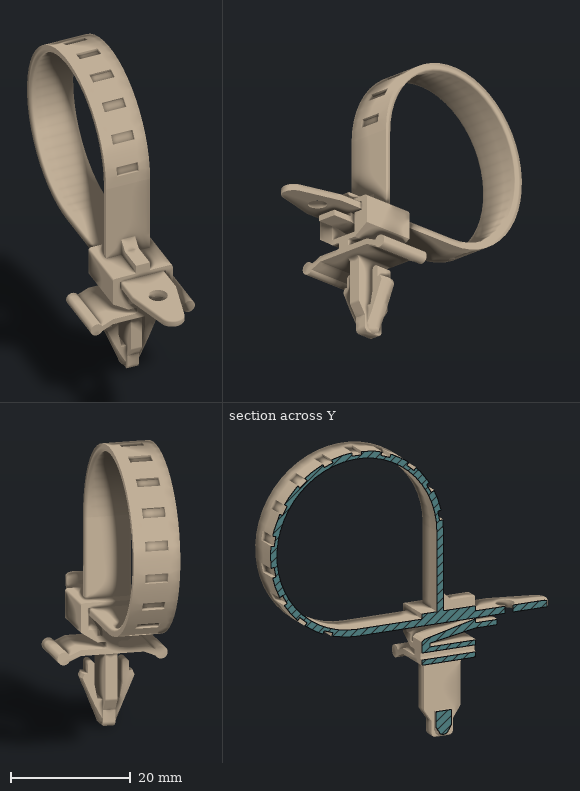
import cadquery as cq
import math


loop_radius = 16.2
strap_thickness = 1.3
strap_width = 8.0
strap_edge_radius = 0.45
loop_angle = 270

slot_count = 13
slot_pitch = 20
slot_first = 10
slot_length = 1.7
slot_width = 3.95
slot_depth = 0.65

tail_end = 36.15
tail_taper_start = 26.85
tail_tip_radius = 2.1
tail_hole_x = 28.4
tail_hole_diameter = 3.25

head_start = 12.1
head_length = 10.1
head_end = head_start + head_length
head_top = -14.0
head_half_width = 5.45
head_side_bottom = -19.05
head_bottom = -20.9
head_bottom_half_width = 2.6
head_corner_radius = 0.45

passage_half_width = 4.2
passage_top = strap_thickness - loop_radius
ledge_start_z = -18.25
ledge_end_z = -16.5
entry_bevel = 0.45

slit_inner = 1.8
slit_outer = 2.6
slit_bottom = -19.95
pawl_start_z = -18.5
pawl_peak_z = -16.25
tab_end = 26.2
tab_top = -17.0
tab_bottom = -17.95
pawl_root_length = 1.55
pawl_root_z = -19.4

rib_half_width = 1.25
rib_top = -12.4
rib_chamfer = 1.5

flange_top = -22.05
flange_thickness = 1.0
flange_bottom = flange_top - flange_thickness
bead_radius = 1.1
mount_width = 19.0
bead_y = mount_width / 2 - bead_radius
bead_z = -23.35
flange_droop = math.radians(23)

stem_x = loop_radius
stem_half_thickness = 1.05
stem_half_width = 3.4
stem_tip_half_width = 2.0
stem_taper_top = -31.2
stem_taper_bottom = -33.3
stem_bottom = -36.2
stem_flare_radius = 0.65
stem_side_flare = 0.3
stem_shoulder_radius = 0.65
stem_tip_radius = 0.9
stem_tip_edge_radius = 0.3
neck_fillet = 0.3
edge_margin = 0.05

barb_half_width = 1.5
barb_top = -24.85
barb_inner = 2.4
barb_outer = 3.55
barb_end_radius = (barb_outer - barb_inner) / 2
barb_shoulder_radius = 4.4
barb_shoulder_z = -26.95
barb_pocket_bend_z = -28.9
barb_pocket_bottom = -31.5
barb_pocket_half_width = 1.9
barb_tip_z = -27.65
barb_tip_radius = 4.7
barb_nose_z = -35.1
barb_nose_radius = 1.75
barb_nose_middle = (1.4, -35.8)
barb_nose_end_radius = 0.75


def mirrored(half_outline):
    """Close a half outline by reflecting it in the vertical axis."""
    return half_outline + [(-u, v) for u, v in reversed(half_outline)]


def along_x(points, start, end):
    """Extrude a YZ outline from one X position to another."""
    return cq.Workplane("YZ", origin=(start, 0, 0)).polyline(points).close().extrude(end - start)


def across_y(points, half_width):
    """Extrude an XZ outline to both sides of the symmetry plane."""
    return cq.Workplane("XZ").polyline(points).close().extrude(half_width, both=True)


def block(x_range, y_range, z_range):
    """Box given by its limits on each axis."""
    lows, highs = zip(x_range, y_range, z_range)
    sizes = [high - low for low, high in zip(lows, highs)]
    return cq.Workplane("XY").box(*sizes, centered=False).translate(lows)


def strap_section():
    """Strap cross-section at the +X side of the loop, rounded on its inner edges."""
    return (
        cq.Sketch()
        .push([(loop_radius - strap_thickness / 2, 0)])
        .rect(strap_thickness, strap_width)
        .reset()
        .vertices("<X")
        .fillet(strap_edge_radius)
    )


def make_loop():
    """Curved strap with blind slots spaced around its outer face."""
    loop = cq.Workplane("XY").placeSketch(strap_section()).revolve(loop_angle, (0, 0, 0), (0, -1, 0))
    slot_block = cq.Workplane("XY").box(2 * slot_depth, slot_width, slot_length)
    for index in range(slot_count):
        angle = slot_first + index * slot_pitch
        slot = slot_block.translate((loop_radius, 0, 0))
        loop = loop.cut(slot.rotate((0, 0, 0), (0, -1, 0), angle))
    return loop


def make_riser():
    """Straight strap from the loop down into the roof of the head."""
    return cq.Workplane("XY").placeSketch(strap_section()).extrude(passage_top)


def make_tail():
    """Straight strap from the loop through the head to the pull tip."""
    half_width = strap_width / 2
    tip_x = tail_end - tail_tip_radius
    run = tip_x - tail_taper_start
    reach = math.hypot(run, half_width)
    taper = math.atan2(half_width, run) - math.asin(tail_tip_radius / reach)
    tangent_x = tip_x + tail_tip_radius * math.sin(taper)
    tangent_y = tail_tip_radius * math.cos(taper)
    return (
        cq.Workplane("XY", origin=(0, 0, -loop_radius))
        .moveTo(0, -half_width)
        .lineTo(tail_taper_start, -half_width)
        .lineTo(tangent_x, -tangent_y)
        .threePointArc((tail_end, 0), (tangent_x, tangent_y))
        .lineTo(tail_taper_start, half_width)
        .lineTo(0, half_width)
        .close()
        .extrude(strap_thickness)
        .faces(">Z")
        .edges("not(<X)")
        .fillet(strap_edge_radius)
        .faces(">Z")
        .workplane(origin=(tail_hole_x, 0, 0))
        .hole(tail_hole_diameter)
    )


def make_head():
    """Head with a strap passage and a slit to either side of the pawl."""
    outline = mirrored([
        (head_half_width, head_top),
        (head_half_width, head_side_bottom),
        (head_bottom_half_width, head_bottom),
    ])
    head = along_x(outline, head_start, head_end).faces(">Z").edges("|X").fillet(head_corner_radius)

    passage = across_y([
        (head_start, passage_top),
        (head_start, ledge_start_z - entry_bevel),
        (head_start + entry_bevel, ledge_start_z),
        (head_end, ledge_end_z),
        (head_end, passage_top),
    ], passage_half_width)
    slits = block((head_start, head_end), (-slit_outer, slit_outer), (slit_bottom, passage_top))
    return head.cut(passage).cut(slits)


def make_pawl():
    """Sprung tongue hinged at the strap entry, ending in a release tab."""
    root_end = head_start + pawl_root_length
    return across_y([
        (head_start, slit_bottom),
        (head_start, pawl_start_z - entry_bevel),
        (head_start + entry_bevel, pawl_start_z),
        (head_end, pawl_peak_z),
        (head_end, tab_top),
        (tab_end, tab_top),
        (tab_end, tab_bottom),
        (head_end, tab_bottom),
        (root_end, pawl_root_z),
        (root_end, slit_bottom),
    ], slit_inner)


def make_rib():
    """Rib that braces the riser against the top of the head."""
    return across_y([
        (loop_radius, head_top),
        (loop_radius, rib_top + rib_chamfer),
        (loop_radius + rib_chamfer, rib_top),
        (head_end, rib_top),
        (head_end, head_top),
    ], rib_half_width)


def make_flange():
    """Neck and drooping flange under the head, with a round bead on each rim."""
    neck = along_x(mirrored([
        (stem_half_thickness, head_bottom),
        (stem_half_thickness, flange_top),
    ]), head_start, head_end)
    drop = (bead_y - head_half_width) * math.tan(flange_droop)
    flange = along_x(mirrored([
        (head_half_width, flange_top),
        (bead_y, flange_top - drop),
        (bead_y, flange_bottom - drop),
        (head_half_width, flange_bottom),
    ]), head_start, head_end)
    beads = (
        cq.Workplane("YZ", origin=(head_start, 0, 0))
        .pushPoints([(-bead_y, bead_z), (bead_y, bead_z)])
        .circle(bead_radius)
        .extrude(head_length)
    )
    return flange.union(neck).union(beads)


def make_stem():
    """Flat stem that narrows to a rounded tip."""
    stem = across_y(
        [(stem_x + u, v) for u, v in mirrored([
            (stem_half_width, flange_bottom),
            (stem_half_width, stem_taper_top),
            (stem_tip_half_width, stem_taper_bottom),
            (stem_tip_half_width, stem_bottom),
        ])],
        stem_half_thickness,
    )
    taper_corners = cq.selectors.BoxSelector(
        (head_start, -strap_width, stem_taper_top - edge_margin),
        (head_end, strap_width, stem_taper_top + edge_margin),
    )
    stem = stem.edges(taper_corners).edges("|Y").fillet(stem_shoulder_radius)
    stem = stem.faces("<Z").edges("|Y").fillet(stem_tip_radius)
    rounded_slab = (
        block(
            (head_start, head_end),
            (-stem_half_thickness, stem_half_thickness),
            (stem_bottom, flange_bottom),
        )
        .faces("<Z").edges("|X").fillet(stem_tip_edge_radius)
    )
    return stem.intersect(rounded_slab)


def fillet_joints(body):
    """Round the inside corners along the neck and where the stem leaves the flange."""
    for z in (head_bottom, flange_top):
        corners = cq.selectors.BoxSelector(
            (head_start, -stem_half_thickness - edge_margin, z - edge_margin),
            (head_end, stem_half_thickness + edge_margin, z + edge_margin),
        )
        body = body.edges(corners).edges("|X").fillet(neck_fillet)
    stem_reach = stem_half_width + edge_margin
    stem_roots = cq.selectors.BoxSelector(
        (stem_x - stem_reach, -stem_half_thickness, flange_bottom - edge_margin),
        (stem_x + stem_reach, stem_half_thickness, flange_bottom + edge_margin),
    )
    return body.edges(stem_roots).edges("|Y").fillet(stem_flare_radius)


def make_side_flares():
    """Concave fillets where the broad sides of the stem meet the flange."""
    foot = stem_half_thickness + stem_side_flare
    low = flange_bottom - stem_side_flare
    sag = stem_side_flare * (1 - math.sqrt(0.5))
    return (
        cq.Workplane("YZ", origin=(stem_x, 0, 0))
        .moveTo(foot, flange_bottom)
        .threePointArc((stem_half_thickness + sag, flange_bottom - sag), (stem_half_thickness, low))
        .lineTo(-stem_half_thickness, low)
        .threePointArc((-stem_half_thickness - sag, flange_bottom - sag), (-foot, flange_bottom))
        .close()
        .extrude(stem_half_width, both=True)
    )


def make_barbs():
    """Pair of spring barbs whose outer faces lie on a cone about the stem."""
    outline = (
        cq.Workplane("YZ")
        .moveTo(0, barb_pocket_bottom)
        .lineTo(barb_pocket_half_width, barb_pocket_bottom)
        .lineTo(barb_inner, barb_pocket_bend_z)
        .lineTo(barb_inner, barb_top - barb_end_radius)
        .threePointArc((barb_inner + barb_end_radius, barb_top), (barb_outer, barb_top - barb_end_radius))
        .lineTo(barb_outer, barb_shoulder_z)
        .lineTo(barb_tip_radius, barb_shoulder_z)
        .lineTo(barb_tip_radius, stem_bottom)
        .lineTo(0, stem_bottom)
        .close()
        .extrude(barb_half_width, both=True)
    )
    cone = (
        cq.Workplane("XZ")
        .lineTo(barb_tip_radius, 0)
        .lineTo(barb_shoulder_radius, barb_shoulder_z)
        .lineTo(barb_tip_radius, barb_tip_z)
        .lineTo(barb_nose_radius, barb_nose_z)
        .threePointArc(barb_nose_middle, (barb_nose_end_radius, stem_bottom))
        .lineTo(0, stem_bottom)
        .close()
        .revolve(360, (0, 0, 0), (0, 1, 0))
    )
    barb = outline.intersect(cone)
    return barb.union(barb.mirror("XZ")).translate((stem_x, 0, 0))


mount = fillet_joints(make_head().union(make_flange()).union(make_stem()))
mount = mount.union(make_side_flares()).union(make_barbs())
strap = make_loop().union(make_riser()).union(make_tail())
result = mount.union(make_pawl()).union(make_rib()).union(strap)